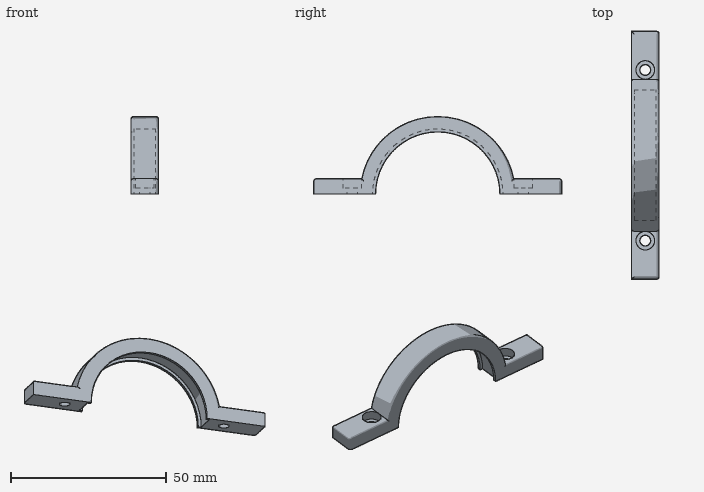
import cadquery as cq

width = 9.0
length = 80.0
foot_height = 5.0
bore_radius = 20.0
arch_thickness = 5.0
edge_radius = 1.0
lip_width = 1.0
groove_depth = 1.0
screw_spacing = 55.0
screw_diameter = 3.4
head_diameter = 6.0
head_depth = 3.0

outer_radius = bore_radius + arch_thickness
groove_width = width - 2 * lip_width


def cylinder_along_x(radius, size_x):
    """Cylinder on the X axis, centred on the origin."""
    return cq.Workplane("YZ", origin=(-size_x / 2, 0, 0)).circle(radius).extrude(size_x)


def make_feet():
    """Bar spanning both feet, rounded on its top edges and its +X upright corners."""
    bar = cq.Workplane("XY").box(width, length, foot_height, centered=(True, True, False))
    return bar.edges(">Z or (|Z and >X)").fillet(edge_radius)


def make_arch():
    """Upper half of a disc with rounded rims; the bore is cut later."""
    disc = cylinder_along_x(outer_radius, width).edges("%CIRCLE").fillet(edge_radius)
    upper_half = cq.Workplane("XY").box(
        width, 2 * outer_radius, outer_radius, centered=(True, True, False)
    )
    return disc.intersect(upper_half)


def cut_bore(body):
    """Half-round seat with a wider groove between two side lips."""
    body = body.cut(cylinder_along_x(bore_radius, width))
    return body.cut(cylinder_along_x(bore_radius + groove_depth, groove_width))


def screw_cutter(y):
    """Through hole with a flat-bottomed recess for the screw head."""
    shank = cq.Workplane("XY").center(0, y).circle(screw_diameter / 2).extrude(foot_height)
    head_seat = foot_height - head_depth
    head = (
        cq.Workplane("XY", origin=(0, y, head_seat))
        .circle(head_diameter / 2)
        .extrude(head_depth)
    )
    return shank.union(head)


result = cut_bore(make_feet().union(make_arch()))
for side in (-1, 1):
    result = result.cut(screw_cutter(side * screw_spacing / 2))